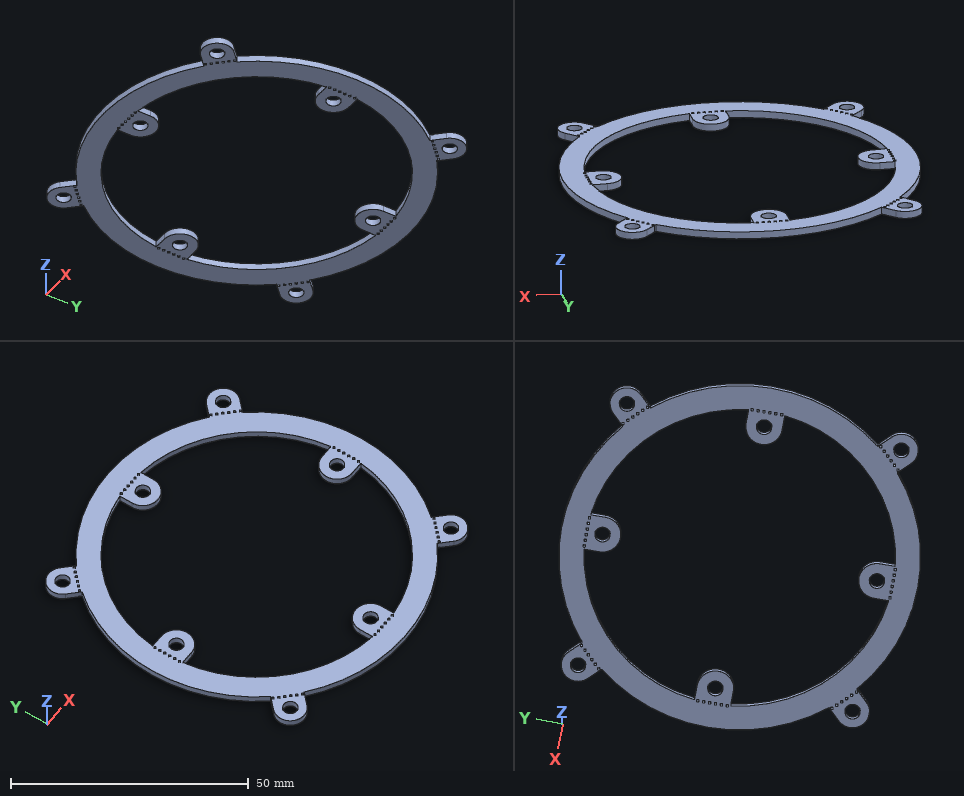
import cadquery as cq

thickness = 1.6
outer_radius = 38.1
inner_radius = 32.75

hole_offset = 29.3
screw_hole_diameter = 3.2
inner_tab_radius = 3.9
outer_tab_radius = 3.6
root_overlap = 1.9

perforation_diameter = 0.51
perforation_count = 6
perforation_row_length = 6.3
perforation_pitch = perforation_row_length / (perforation_count - 1)
inner_perforation_radius = 32.7
outer_perforation_radius = 38.4

inner_tab_angles = (0, 90, 180, 270)
outer_tab_angles = (45, 135, 225, 315)
inner_hole_radius = hole_offset
outer_hole_radius = hole_offset * 2**0.5


def tab(hole_radius, tab_radius, root_radius, angle):
    """Round-ended tab around a screw hole, joined to the ring at root_radius."""
    end = cq.Workplane("XY").center(hole_radius, 0).circle(tab_radius).extrude(thickness)
    length = abs(root_radius - hole_radius)
    middle = (root_radius + hole_radius) / 2
    neck = cq.Workplane("XY").center(middle, 0).rect(length, 2 * tab_radius).extrude(thickness)
    return end.union(neck).rotate((0, 0, 0), (0, 0, 1), angle)


def tab_holes(hole_radius, perforation_radius, angle):
    """Cutter for one screw hole and its straight row of perforations."""
    screw_hole = cq.Workplane("XY").center(hole_radius, 0).circle(screw_hole_diameter / 2).extrude(thickness)
    perforations = (
        cq.Workplane("XY")
        .center(perforation_radius, 0)
        .rarray(0.75, perforation_pitch, 1, perforation_count)
        .circle(perforation_diameter / 2)
        .extrude(thickness)
    )
    return screw_hole.add(perforations).combine().rotate((0, 0, 0), (0, 0, 1), angle)


result = cq.Workplane("XY").circle(outer_radius).circle(inner_radius).extrude(thickness)

for angle in inner_tab_angles:
    result = result.union(tab(inner_hole_radius, inner_tab_radius, inner_radius + root_overlap, angle))
for angle in outer_tab_angles:
    result = result.union(tab(outer_hole_radius, outer_tab_radius, outer_radius - root_overlap, angle))

for angle in inner_tab_angles:
    result = result.cut(tab_holes(inner_hole_radius, inner_perforation_radius, angle))
for angle in outer_tab_angles:
    result = result.cut(tab_holes(outer_hole_radius, outer_perforation_radius, angle))